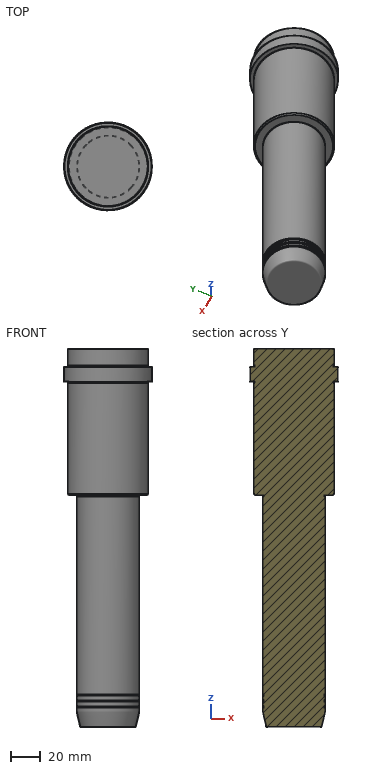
import cadquery as cq

total_length = 253.0
sleeve_bottom = 155.0
collar_bottom = 231.0
collar_height = 10.0
collar_top = collar_bottom + collar_height

shaft_diameter = 42.0
sleeve_diameter = 54.0
collar_diameter = 59.0
nose_tip_diameter = 37.0

nose_height = 10.5
nose_bulge = 0.1
nose_edge_radius = 1.0

sleeve_chamfer = 1.0
top_chamfer = 0.5

undercut_width = 1.0
undercut_depth = 0.5

groove_count = 3
groove_width = 1.0
groove_depth = 0.5
groove_pitch = 4.0
lowest_groove_bottom = 13.0


def make_shaft():
    """Shaft with a convex nose and a rounded tip edge, revolved about Z."""
    shaft_radius = shaft_diameter / 2
    tip_radius = nose_tip_diameter / 2
    nose_middle = ((shaft_radius + tip_radius) / 2 + nose_bulge, nose_height / 2)
    return (
        cq.Workplane("XZ")
        .lineTo(tip_radius, 0)
        .threePointArc(nose_middle, (shaft_radius, nose_height))
        .lineTo(shaft_radius, sleeve_bottom)
        .lineTo(0, sleeve_bottom)
        .close()
        .revolve(360, (0, 0), (0, 1))
        .faces("<Z")
        .edges()
        .fillet(nose_edge_radius)
    )


def make_cylinder(diameter, bottom, top):
    """Cylinder on the Z axis between two heights."""
    return cq.Workplane("XY").workplane(offset=bottom).circle(diameter / 2).extrude(top - bottom)


def make_sleeve():
    """Thick upper body with chamfered end edges."""
    body = make_cylinder(sleeve_diameter, sleeve_bottom, total_length)
    return body.faces("<Z").chamfer(sleeve_chamfer).faces(">Z").chamfer(top_chamfer)


def make_collar():
    """Collar with a chamfered upper edge."""
    return make_cylinder(collar_diameter, collar_bottom, collar_top).faces(">Z").chamfer(top_chamfer)


def make_undercut(diameter, shoulder, direction):
    """Cutter for a relief that starts at a shoulder and runs out at 45 degrees along the direction."""
    outer_radius = diameter / 2
    inner_radius = outer_radius - undercut_depth
    floor_end = shoulder + direction * (undercut_width - undercut_depth)
    runout_end = shoulder + direction * undercut_width
    return (
        cq.Workplane("XZ")
        .moveTo(outer_radius, shoulder)
        .lineTo(inner_radius, shoulder)
        .lineTo(inner_radius, floor_end)
        .lineTo(outer_radius, runout_end)
        .close()
        .revolve(360, (0, 0), (0, 1))
    )


def make_groove(bottom):
    """Ring cutter for one square groove around the shaft."""
    return (
        cq.Workplane("XY")
        .workplane(offset=bottom)
        .circle(shaft_diameter / 2)
        .circle(shaft_diameter / 2 - groove_depth)
        .extrude(groove_width)
    )


result = make_shaft().union(make_sleeve()).union(make_collar())

result = result.cut(make_undercut(sleeve_diameter, collar_top, 1))
result = result.cut(make_undercut(sleeve_diameter, collar_bottom, -1))
result = result.cut(make_undercut(shaft_diameter, sleeve_bottom, -1))

for index in range(groove_count):
    result = result.cut(make_groove(lowest_groove_bottom + index * groove_pitch))